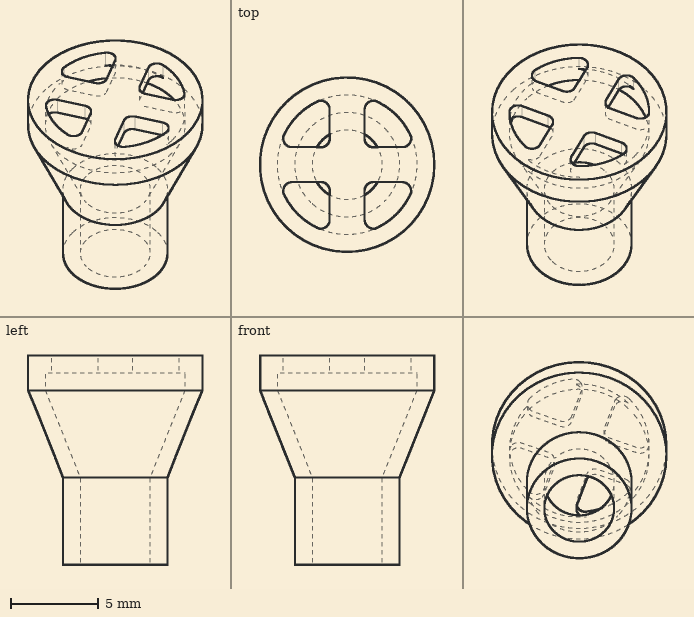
import cadquery as cq

total_height = 12.0
neck_height = total_height * 5 / 12
rim_height = total_height / 6
cone_top = total_height - rim_height

rim_radius = total_height * 5 / 12
neck_radius = total_height / 4
wall = total_height / 12
cavity_radius = rim_radius - wall
bore_radius = neck_radius - wall

grille_thickness = rim_height / 2
grille_bottom = total_height - grille_thickness
cross_width = total_height / 6
window_corner_radius = 0.5


def funnel(lower_radius, upper_radius):
    """Solid with a straight neck, a flaring cone and a straight rim."""
    return (
        cq.Workplane("XZ")
        .lineTo(lower_radius, 0)
        .lineTo(lower_radius, neck_height)
        .lineTo(upper_radius, cone_top)
        .lineTo(upper_radius, total_height)
        .lineTo(0, total_height)
        .close()
        .revolve(360, (0, 0, 0), (0, 1, 0))
    )


def grille_window():
    """Quarter-circle window with rounded corners, in the +X +Y quadrant."""
    grille_plane = cq.Workplane("XY").workplane(offset=grille_bottom)
    disc = grille_plane.circle(cavity_radius).extrude(grille_thickness)
    quadrant = (
        grille_plane.move(cross_width / 2, cross_width / 2)
        .rect(cavity_radius, cavity_radius, centered=False)
        .extrude(grille_thickness)
    )
    return disc.intersect(quadrant).edges("|Z").fillet(window_corner_radius)


def grille():
    """Disc closing the top of the cavity, pierced by four windows that leave a cross."""
    window = grille_window()
    plate = cq.Workplane("XY").workplane(offset=grille_bottom).circle(cavity_radius).extrude(grille_thickness)
    for quarter in range(4):
        plate = plate.cut(window.rotate((0, 0, 0), (0, 0, 1), 90 * quarter))
    return plate


hollow_body = funnel(neck_radius, rim_radius).cut(funnel(bore_radius, cavity_radius))
result = hollow_body.union(grille()).clean()